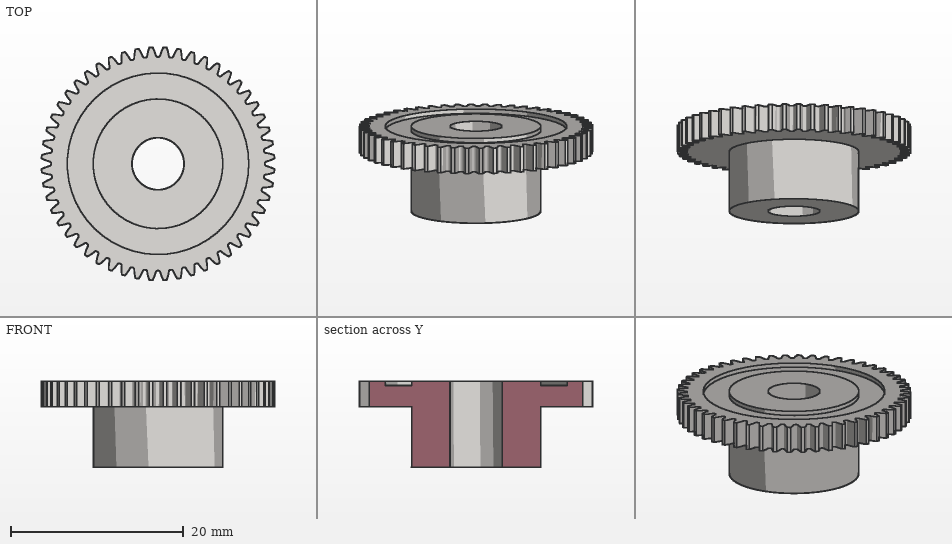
import cadquery as cq
import math


tooth_count = 52
module = 0.5
pressure_angle = math.radians(20)
addendum = module
dedendum = 1.25 * module
root_fillet_radius = 0.375 * module

total_height = 10.0
rim_height = 3.0
hub_diameter = 15.0
bore_diameter = 6.0
recess_diameter = 21.0
recess_depth = 0.5

tooth_pitch_angle = 2 * math.pi / tooth_count
pitch_radius = module * tooth_count / 2
base_radius = pitch_radius * math.cos(pressure_angle)
tip_radius = pitch_radius + addendum
root_radius = pitch_radius - dedendum
rim_bottom = total_height - rim_height


def polar(radius, angle):
    return (radius * math.cos(angle), radius * math.sin(angle))


def involute(angle):
    return math.tan(angle) - angle


def half_tooth_angle(radius):
    """Angle from the tooth centreline to its involute flank at a given radius."""
    local_pressure_angle = math.acos(base_radius / radius)
    return tooth_pitch_angle / 4 + involute(pressure_angle) - involute(local_pressure_angle)


def gear_outline():
    """Closed outline of all teeth; a tooth gap is centred on the +X axis."""
    root_half_angle = half_tooth_angle(root_radius)
    pitch_half_angle = half_tooth_angle(pitch_radius)
    tip_half_angle = half_tooth_angle(tip_radius)
    first_tooth = tooth_pitch_angle / 2
    outline = cq.Workplane("XY", origin=(0, 0, rim_bottom))
    outline = outline.moveTo(*polar(root_radius, first_tooth - root_half_angle))
    for tooth in range(tooth_count):
        centre = first_tooth + tooth * tooth_pitch_angle
        gap_centre = centre + tooth_pitch_angle / 2
        next_flank = centre + tooth_pitch_angle - root_half_angle
        outline = outline.threePointArc(
            polar(pitch_radius, centre - pitch_half_angle),
            polar(tip_radius, centre - tip_half_angle),
        )
        outline = outline.threePointArc(
            polar(tip_radius, centre),
            polar(tip_radius, centre + tip_half_angle),
        )
        outline = outline.threePointArc(
            polar(pitch_radius, centre + pitch_half_angle),
            polar(root_radius, centre + root_half_angle),
        )
        outline = outline.threePointArc(
            polar(root_radius, gap_centre),
            polar(root_radius, next_flank),
        )
    return outline.close()


def toothed_rim():
    rim = gear_outline().extrude(rim_height)
    foot_edges = rim.edges("|Z").filter(
        lambda edge: math.hypot(edge.Center().x, edge.Center().y) < pitch_radius
    )
    return foot_edges.fillet(root_fillet_radius)


def recess():
    """Ring-shaped pocket in the top face, between the hub and the rim."""
    return (
        cq.Workplane("XY", origin=(0, 0, total_height - recess_depth))
        .circle(recess_diameter / 2)
        .circle(hub_diameter / 2)
        .extrude(recess_depth)
    )


def hub():
    return cq.Workplane("XY").circle(hub_diameter / 2).extrude(total_height)


def bore():
    return cq.Workplane("XY").circle(bore_diameter / 2).extrude(total_height)


result = toothed_rim().cut(recess()).union(hub()).cut(bore())